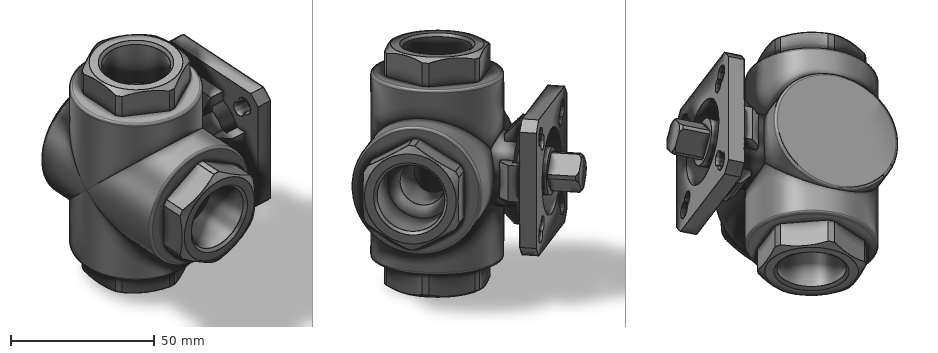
import cadquery as cq
import math

body_radius = 46.5 / 2
port_shoulder = 33.7
port_end = 43.75
closed_end = 24.0
body_fillet = 1.0

hex_across_flats = 34.0
hex_corner_radius = 19.0
hex_face_radius = 16.4
hex_chamfer_angle = 30.0

thread_radius = 12.1
thread_mouth_radius = 13.1
thread_depth = 17.5
passage_radius = 16.0 / 2
drill_point_slope = 30.0

collar_radius = 27.0 / 2
collar_top = 29.9
gland_radius = 8.5
plate_bottom = 34.9
plate_thickness = 5.95
plate_side = 49.5
opening_radius = 15.5
plate_corner_radius = 32.5
outer_hole_diameter = 6.5
outer_hole_circle = 50.05
inner_hole_diameter = 5.5
inner_hole_circle = 42.0

post_width = 13.1
post_reach = 18.0
post_bottom = 25.4
post_bevel = 3.85

stem_square = 10.85
stem_corner_radius = 13.9 / 2
overall_depth = 75.2
stem_end = overall_depth - body_radius
stem_chamfer = 1.0

plate_top = plate_bottom + plate_thickness


def revolve_about_y(profile):
    return cq.Workplane("XY").polyline(profile).close().revolve(360, (0, 0), (0, 1))


def rod_along_y(radius, start, end):
    return cq.Workplane("XZ", origin=(0, start, 0)).circle(radius).extrude(start - end)


def aim_up(solid):
    return solid.rotate((0, 0, 0), (1, 0, 0), 90)


def aim_down(solid):
    return solid.rotate((0, 0, 0), (1, 0, 0), -90)


def aim_right(solid):
    return aim_up(solid).rotate((0, 0, 0), (0, 1, 0), 90)


def make_body():
    run = cq.Workplane("XY").circle(body_radius).extrude(port_shoulder, both=True)
    run = run.faces("|Z").edges().fillet(body_fillet)
    branch = cq.Workplane("YZ", origin=(-closed_end, 0, 0)).circle(body_radius)
    branch = branch.extrude(closed_end + port_shoulder)
    branch = branch.faces("|X").edges().fillet(body_fillet)
    return run.union(branch)


def make_hex_end():
    """Chamfered hexagon pointing along +Y, with two corners on the X axis."""
    corner_diameter = hex_across_flats / math.cos(math.radians(30))
    prism = cq.Workplane("XZ").polygon(6, corner_diameter).extrude(-port_end)
    chamfer_width = hex_corner_radius - hex_face_radius
    chamfer_height = chamfer_width * math.tan(math.radians(hex_chamfer_angle))
    turned_blank = revolve_about_y([
        (0, 0),
        (hex_corner_radius, 0),
        (hex_corner_radius, port_end - chamfer_height),
        (hex_face_radius, port_end),
        (0, port_end),
    ])
    return prism.intersect(turned_blank)


def make_port_bore():
    """Material removed from one port along +Y: mouth chamfer, thread, drill point and passage."""
    thread_bottom = port_end - thread_depth
    cone_height = (thread_radius - passage_radius) * math.tan(math.radians(drill_point_slope))
    return revolve_about_y([
        (0, 0),
        (passage_radius, 0),
        (passage_radius, thread_bottom - cone_height),
        (thread_radius, thread_bottom),
        (thread_radius, port_end - (thread_mouth_radius - thread_radius)),
        (thread_mouth_radius, port_end),
        (0, port_end),
    ])


def make_plate():
    plate = cq.Workplane("XZ", origin=(0, plate_bottom, 0)).rect(plate_side, plate_side)
    plate = plate.extrude(-plate_thickness)
    plate = plate.intersect(rod_along_y(plate_corner_radius, plate_bottom, plate_top))
    hole_patterns = [
        (outer_hole_circle, outer_hole_diameter),
        (inner_hole_circle, inner_hole_diameter),
    ]
    for circle_diameter, hole_diameter in hole_patterns:
        holes = cq.Workplane("XZ", origin=(0, plate_bottom, 0))
        holes = holes.polarArray(circle_diameter / 2, 45, 360, 4).circle(hole_diameter / 2)
        plate = plate.cut(holes.extrude(-plate_thickness))
    return plate


def make_post():
    """Post on the +X side, running inward to the stem axis before the opening is cleared."""
    profile = [
        (0, post_bottom),
        (post_reach - post_bevel, post_bottom),
        (post_reach, post_bottom + post_bevel),
        (post_reach, plate_bottom),
        (0, plate_bottom),
    ]
    return cq.Workplane("XY").polyline(profile).close().extrude(post_width / 2, both=True)


def make_stem():
    """Square stem standing on edge, its corners and tip turned round."""
    square = cq.Workplane("XZ").rect(stem_square, stem_square).extrude(-stem_end)
    square = square.rotate((0, 0, 0), (0, 1, 0), 45)
    turned_blank = rod_along_y(stem_corner_radius, plate_bottom, stem_end)
    turned_blank = turned_blank.faces(">Y").edges().chamfer(stem_chamfer)
    return square.intersect(turned_blank)


def make_mount():
    mount = make_plate()
    for quarter in range(4):
        mount = mount.union(make_post().rotate((0, 0, 0), (0, 1, 0), 90 * quarter))
    mount = mount.cut(rod_along_y(opening_radius, collar_top, plate_top))
    mount = mount.union(rod_along_y(collar_radius, 0, collar_top))
    mount = mount.union(rod_along_y(gland_radius, 0, plate_top))
    return mount.union(make_stem())


result = make_body().union(make_mount())
port_directions = (aim_up, aim_down, aim_right)
for aim in port_directions:
    result = result.union(aim(make_hex_end()))
for aim in port_directions:
    result = result.cut(aim(make_port_bore()))